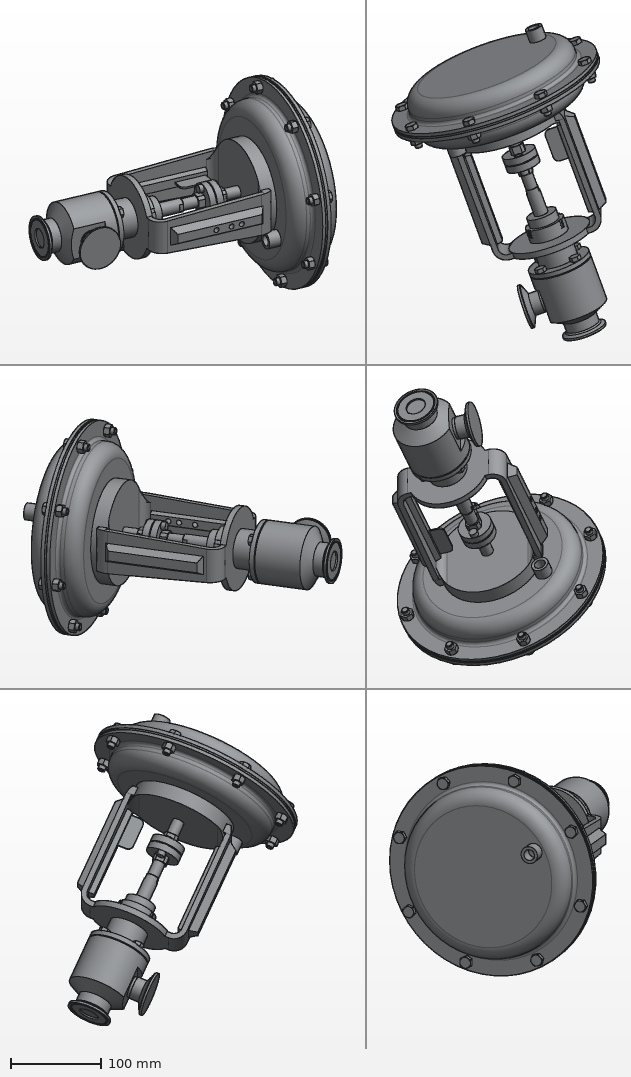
import cadquery as cq
import math


PORT_FLANGE_RADIUS = 25.25
PORT_RIM_BEVEL = 0.6
PORT_FLANGE_THICKNESS = 2.6

LOWER_NECK_RADIUS = 19.3
LOWER_CONE_TOP_RADIUS = 20.9
LOWER_CONE_BOTTOM_Y = 4.7
LOWER_NECK_BOTTOM_Y = 6.5
LOWER_NECK_TOP_Y = 17.8
LOWER_BORE_RADIUS = 11.2
LOWER_BORE_DEPTH = 2.0
GASKET_GROOVE_INNER_RADIUS = 21.2
GASKET_GROOVE_OUTER_RADIUS = 22.6
GASKET_GROOVE_DEPTH = 1.6

HOUSING_RADIUS = 35.7
HOUSING_BOTTOM_Y = 27.2
HOUSING_TOP_Y = 87.2
HOUSING_FLAT_X = 30.3
HOUSING_FLAT_TOP_Y = 66.1
JOINT_GROOVE_Y = 81.2
JOINT_GROOVE_WIDTH = 0.8
JOINT_GROOVE_DEPTH = 1.5

SIDE_PORT_Y = 48.5
SIDE_NECK_RADIUS = 12.9
SIDE_STUB_RADIUS = 12.2
SIDE_STUB_END_X = 33.4
SIDE_NECK_END_X = 44.8
SIDE_FACE_X = 53.4
SIDE_CONE_LENGTH = 5.2

BONNET_RADIUS = 22.5
BONNET_TOP_Y = 134.6
SPANNER_SLOT_ANGLE = 32
SPANNER_SLOT_WIDTH = 4.5
SPANNER_SLOT_DEPTH = 1.5
SPANNER_SLOT_LENGTH = 9.3
GLAND_RADIUS = 17.3
GLAND_TOP_Y = 145.1

STEM_RADIUS = 8.0
STEM_SHOULDER_Y = 177.1
STEM_FLAT_LENGTH = 5.4
STEM_TIP_RADIUS = 6.8

BONNET_BOLT_OFFSET = 20.3
BONNET_BOLT_ACROSS_FLATS = 11.2
BONNET_BOLT_HEAD_HEIGHT = 4.9

CASING_FLANGE_RADIUS = 120.65
CASING_FLANGE_BOTTOM_Y = 292.0
CASING_PLATE_THICKNESS = 4.2
DIAPHRAGM_THICKNESS = 2.2
DIAPHRAGM_RADIUS = 119.8
CASING_FLANGE_TOP_Y = CASING_FLANGE_BOTTOM_Y + 2 * CASING_PLATE_THICKNESS + DIAPHRAGM_THICKNESS
DOME_RADIUS = 98.6
DOME_EDGE_RADIUS = 17.0
DOME_ROOT_RADIUS = 4.0
DOME_BOTTOM_Y = 266.3
DOME_TOP_Y = 327.4

CASING_BOLT_COUNT = 8
CASING_BOLT_CIRCLE_RADIUS = 111.2
CASING_BOLT_START_ANGLE = 15
CASING_BOLT_RADIUS = 4.2
CASING_BOLT_CHAMFER = 0.9
CASING_BOLT_END_Y = 279.6
CASING_HEX_ACROSS_FLATS = 12.7
CASING_HEX_CHAMFER = 1.0
CASING_HEAD_TURN = -15
CASING_NUT_TURN = 15
CASING_HEAD_HEIGHT = 5.3
CASING_NUT_HEIGHT = 7.1

FITTING_CIRCLE_RADIUS = 69.6
FITTING_ANGLE = -30
FITTING_RADIUS = 9.65
FITTING_LENGTH = 14.64
FITTING_BORE_RADIUS = 6.2

BOSS_RADIUS = 59.4
BOSS_BOTTOM_Y = 248.8

YOKE_OUTER_X = 63.4
YOKE_THICKNESS = 6.35
YOKE_INNER_X = YOKE_OUTER_X - YOKE_THICKNESS
YOKE_BOTTOM_Y = 111.6
YOKE_BEND_RADIUS = 15.875
YOKE_FOOT_BEND_Y = 245.0
YOKE_TOP_Y = 259.2
YOKE_INNER_BEND_RADIUS = YOKE_BEND_RADIUS - YOKE_THICKNESS
YOKE_BOTTOM_HALF_WIDTH = 19.3
YOKE_TOP_HALF_WIDTH = 25.4
YOKE_RING_RADIUS = 47.6
YOKE_RING_THICKNESS = 7.1

OUTER_RIB_HEIGHT = 9.6
OUTER_RIB_BASE = (131.3, 247.0, 10.9)
OUTER_RIB_CREST = (135.4, 240.8, 5.8)
INNER_RIB_HEIGHT = 6.4
INNER_RIB_BASE = (129.6, 238.0, 7.4)
INNER_RIB_CREST = (130.7, 236.9, 5.4)
MOUNTING_HOLE_YS = (215.5, 202.8, 183.8)
MOUNTING_HOLE_RADIUS = 3.0

PLATE_LENGTH = 38.7
PLATE_MIDDLE_Y = 215.5
PLATE_END_X = -34.3
PLATE_THICKNESS = 2.0
PLATE_CORNER_RADIUS = 6.35

COUPLING_RADIUS = 19.3
COUPLING_BOTTOM_Y = 203.9
COUPLING_TOP_Y = 221.2
COUPLING_GROOVE_WIDTH = 0.8
COUPLING_GROOVE_DEPTH = 1.5
HUB_WIDTH = 16.0
HUB_CHAMFER = 3.3
HUB_BOTTOM_Y = 195.4
HUB_TOP_Y = 230.5
COUPLING_SCREW_OFFSET = 14.5
COUPLING_SCREW_RADIUS = 4.7
COUPLING_SCREW_HEAD_HEIGHT = 5.4
COUPLING_SCREW_END_HEIGHT = 0.9


def plane_at(y, x=0.0, z=0.0):
    """Workplane across the stem axis, with local axes along X and Z."""
    return cq.Workplane("XZ", origin=(x, y, z))


def cylinder(radius, y_start, y_end, x=0.0, z=0.0):
    return plane_at(y_start, x, z).circle(radius).extrude(y_start - y_end)


def ring(outer_radius, inner_radius, y_start, y_end):
    return plane_at(y_start).circle(outer_radius).circle(inner_radius).extrude(y_start - y_end)


def hexagon(across_flats, y_start, y_end, x, z, turn=0.0):
    corner_diameter = across_flats / math.cos(math.pi / 6)
    prism = plane_at(y_start).polygon(6, corner_diameter).extrude(y_start - y_end)
    return prism.rotate((0, 0, 0), (0, -1, 0), turn).translate((x, 0, z))


def spin_about_y(points):
    return cq.Workplane("XY").polyline(points).close().revolve(360, (0, 0, 0), (0, 1, 0))


def make_lower_port_and_housing():
    body = spin_about_y([
        (0, 0),
        (PORT_FLANGE_RADIUS, 0),
        (PORT_FLANGE_RADIUS, PORT_FLANGE_THICKNESS),
        (LOWER_CONE_TOP_RADIUS, LOWER_CONE_BOTTOM_Y),
        (LOWER_NECK_RADIUS, LOWER_NECK_BOTTOM_Y),
        (LOWER_NECK_RADIUS, LOWER_NECK_TOP_Y),
        (HOUSING_RADIUS, HOUSING_BOTTOM_Y),
        (HOUSING_RADIUS, HOUSING_TOP_Y),
        (0, HOUSING_TOP_Y),
    ])
    joint_groove = ring(
        HOUSING_RADIUS,
        HOUSING_RADIUS - JOINT_GROOVE_DEPTH,
        JOINT_GROOVE_Y - JOINT_GROOVE_WIDTH / 2,
        JOINT_GROOVE_Y + JOINT_GROOVE_WIDTH / 2,
    )
    gasket_groove = ring(GASKET_GROOVE_OUTER_RADIUS, GASKET_GROOVE_INNER_RADIUS, 0, GASKET_GROOVE_DEPTH)
    bore = cylinder(LOWER_BORE_RADIUS, 0, LOWER_BORE_DEPTH)
    flat_height = HOUSING_FLAT_TOP_Y - LOWER_NECK_TOP_Y
    side_flat = cq.Workplane("YZ", origin=(HOUSING_FLAT_X, LOWER_NECK_TOP_Y + flat_height / 2, 0))
    side_flat = side_flat.rect(flat_height, 2 * HOUSING_RADIUS).extrude(HOUSING_RADIUS)
    return body.cut(joint_groove).cut(gasket_groove).cut(bore).cut(side_flat)


def make_side_port():
    rim_x = SIDE_FACE_X - PORT_FLANGE_THICKNESS
    profile = [
        (0, 0),
        (0, SIDE_STUB_RADIUS),
        (SIDE_STUB_END_X, SIDE_STUB_RADIUS),
        (SIDE_STUB_END_X, SIDE_NECK_RADIUS),
        (SIDE_NECK_END_X, SIDE_NECK_RADIUS),
        (SIDE_NECK_END_X + SIDE_CONE_LENGTH, PORT_FLANGE_RADIUS - PORT_RIM_BEVEL),
        (rim_x, PORT_FLANGE_RADIUS),
        (SIDE_FACE_X, PORT_FLANGE_RADIUS),
        (SIDE_FACE_X, 0),
    ]
    port = cq.Workplane("XY").polyline(profile).close().revolve(360, (0, 0, 0), (1, 0, 0))
    return port.translate((0, SIDE_PORT_Y, 0))


def make_bonnet():
    bonnet = cylinder(BONNET_RADIUS, HOUSING_TOP_Y, BONNET_TOP_Y)
    slot = cq.Workplane("XY").box(
        2 * SPANNER_SLOT_DEPTH, 2 * SPANNER_SLOT_LENGTH, SPANNER_SLOT_WIDTH
    ).translate((BONNET_RADIUS, BONNET_TOP_Y, 0))
    for side in (0, 180):
        for turn in (-SPANNER_SLOT_ANGLE, SPANNER_SLOT_ANGLE):
            bonnet = bonnet.cut(slot.rotate((0, 0, 0), (0, 1, 0), side + turn))
    return bonnet.union(cylinder(GLAND_RADIUS, BONNET_TOP_Y, GLAND_TOP_Y))


def make_bonnet_bolts():
    head_top_y = HOUSING_TOP_Y + BONNET_BOLT_HEAD_HEIGHT
    bolts = cq.Workplane("XY")
    for x in (-BONNET_BOLT_OFFSET, BONNET_BOLT_OFFSET):
        for z in (-BONNET_BOLT_OFFSET, BONNET_BOLT_OFFSET):
            bolts = bolts.union(hexagon(BONNET_BOLT_ACROSS_FLATS, HOUSING_TOP_Y, head_top_y, x, z))
    return bolts


def make_stem():
    flats_bottom_y = STEM_SHOULDER_Y - STEM_FLAT_LENGTH
    stem = cylinder(STEM_RADIUS, GLAND_TOP_Y, flats_bottom_y)
    between_flats = plane_at(flats_bottom_y).rect(2 * STEM_TIP_RADIUS, 2 * STEM_RADIUS)
    between_flats = between_flats.extrude(-STEM_FLAT_LENGTH)
    stem = stem.union(cylinder(STEM_RADIUS, flats_bottom_y, STEM_SHOULDER_Y).intersect(between_flats))
    return stem.union(cylinder(STEM_TIP_RADIUS, STEM_SHOULDER_Y, HUB_BOTTOM_Y))


def make_valve():
    valve = make_lower_port_and_housing().union(make_side_port()).union(make_bonnet())
    return valve.union(make_bonnet_bolts()).union(make_stem())


def make_half_dome(flange_y, crown_y):
    """Pressed shell half: a dome with a rounded edge and a rounded root on the flange."""
    toward_crown = math.copysign(1, crown_y - flange_y)
    root_end_y = flange_y + toward_crown * DOME_ROOT_RADIUS
    edge_start_y = crown_y - toward_crown * DOME_EDGE_RADIUS
    flat_radius = DOME_RADIUS - DOME_EDGE_RADIUS
    bulge = math.sqrt(0.5)
    root_mid = (
        DOME_RADIUS + DOME_ROOT_RADIUS * (1 - bulge),
        root_end_y - toward_crown * DOME_ROOT_RADIUS * bulge,
    )
    edge_mid = (
        flat_radius + DOME_EDGE_RADIUS * bulge,
        edge_start_y + toward_crown * DOME_EDGE_RADIUS * bulge,
    )
    return (
        cq.Workplane("XY")
        .moveTo(0, flange_y)
        .lineTo(DOME_RADIUS + DOME_ROOT_RADIUS, flange_y)
        .threePointArc(root_mid, (DOME_RADIUS, root_end_y))
        .lineTo(DOME_RADIUS, edge_start_y)
        .threePointArc(edge_mid, (flat_radius, crown_y))
        .lineTo(0, crown_y)
        .close()
        .revolve(360, (0, 0, 0), (0, 1, 0))
    )


def make_casing():
    diaphragm_bottom_y = CASING_FLANGE_BOTTOM_Y + CASING_PLATE_THICKNESS
    diaphragm_top_y = diaphragm_bottom_y + DIAPHRAGM_THICKNESS
    casing = cylinder(DIAPHRAGM_RADIUS, diaphragm_bottom_y, diaphragm_top_y)
    casing = casing.union(cylinder(CASING_FLANGE_RADIUS, CASING_FLANGE_BOTTOM_Y, diaphragm_bottom_y))
    casing = casing.union(cylinder(CASING_FLANGE_RADIUS, diaphragm_top_y, CASING_FLANGE_TOP_Y))
    casing = casing.union(make_half_dome(CASING_FLANGE_TOP_Y, DOME_TOP_Y))
    return casing.union(make_half_dome(CASING_FLANGE_BOTTOM_Y, DOME_BOTTOM_Y))


def round_hex_corners(hex_prism, y_start, y_end):
    """Bevel the six corners at the upper end of a bolt head or nut that stands on the stem axis."""
    corner_radius = CASING_HEX_ACROSS_FLATS / 2 / math.cos(math.pi / 6)
    envelope = cylinder(corner_radius, y_start, y_end).faces(">Y").chamfer(CASING_HEX_CHAMFER)
    return hex_prism.intersect(envelope)


def make_casing_bolt(angle):
    head_end_y = CASING_FLANGE_TOP_Y + CASING_HEAD_HEIGHT
    nut_end_y = CASING_FLANGE_BOTTOM_Y - CASING_NUT_HEIGHT
    head = hexagon(CASING_HEX_ACROSS_FLATS, CASING_FLANGE_TOP_Y, head_end_y, 0, 0, CASING_HEAD_TURN)
    head = round_hex_corners(head, CASING_FLANGE_TOP_Y, head_end_y)
    nut = hexagon(CASING_HEX_ACROSS_FLATS, nut_end_y, CASING_FLANGE_BOTTOM_Y, 0, 0, CASING_NUT_TURN)
    nut = round_hex_corners(nut, nut_end_y, CASING_FLANGE_BOTTOM_Y)
    shank = cylinder(CASING_BOLT_RADIUS, CASING_BOLT_END_Y, CASING_FLANGE_TOP_Y)
    shank = shank.faces("<Y").chamfer(CASING_BOLT_CHAMFER)
    bolt = head.union(shank).union(nut)
    return bolt.translate((CASING_BOLT_CIRCLE_RADIUS, 0, 0)).rotate((0, 0, 0), (0, -1, 0), angle)


def make_fitting(angle, root_y, end_y):
    """Threaded connection standing on the casing."""
    x = FITTING_CIRCLE_RADIUS * math.cos(math.radians(angle))
    z = FITTING_CIRCLE_RADIUS * math.sin(math.radians(angle))
    tube = cylinder(FITTING_RADIUS, root_y, end_y, x, z)
    return tube.cut(cylinder(FITTING_BORE_RADIUS, root_y, end_y, x, z))


def make_rib(root_x, height, base, crest):
    """Tapered rib on a leg of the right side; a negative height points toward the stem."""
    def outline(x, rib):
        y_low, y_high, half_width = rib
        plane = cq.Workplane("YZ", origin=(x, (y_low + y_high) / 2, 0))
        return plane.rect(y_high - y_low, 2 * half_width).wires().val()

    return cq.Workplane(cq.Solid.makeLoft([outline(root_x, base), outline(root_x + height, crest)], True))


def make_yoke_side():
    """Right half of the yoke: foot bar, bend, tapering leg, foot on the boss and two ribs."""
    bend_centre_x = YOKE_OUTER_X - YOKE_BEND_RADIUS
    bend_centre_y = YOKE_BOTTOM_Y + YOKE_BEND_RADIUS
    strip = (
        cq.Workplane("XY")
        .moveTo(0, YOKE_BOTTOM_Y)
        .lineTo(bend_centre_x, YOKE_BOTTOM_Y)
        .radiusArc((YOKE_OUTER_X, bend_centre_y), -YOKE_BEND_RADIUS)
        .lineTo(YOKE_OUTER_X, YOKE_FOOT_BEND_Y)
        .tangentArcPoint((BOSS_RADIUS, YOKE_TOP_Y), relative=False)
        .lineTo(YOKE_INNER_X - YOKE_THICKNESS, YOKE_TOP_Y)
        .lineTo(YOKE_INNER_X - YOKE_THICKNESS, BOSS_BOTTOM_Y)
        .lineTo(YOKE_INNER_X, BOSS_BOTTOM_Y)
        .lineTo(YOKE_INNER_X, bend_centre_y)
        .radiusArc((bend_centre_x, YOKE_BOTTOM_Y + YOKE_THICKNESS), YOKE_INNER_BEND_RADIUS)
        .lineTo(0, YOKE_BOTTOM_Y + YOKE_THICKNESS)
        .close()
        .extrude(YOKE_TOP_HALF_WIDTH, both=True)
    )
    width_profile = cq.Workplane("YZ").polyline([
        (YOKE_BOTTOM_Y, -YOKE_BOTTOM_HALF_WIDTH),
        (BOSS_BOTTOM_Y, -YOKE_TOP_HALF_WIDTH),
        (YOKE_TOP_Y, -YOKE_TOP_HALF_WIDTH),
        (YOKE_TOP_Y, YOKE_TOP_HALF_WIDTH),
        (BOSS_BOTTOM_Y, YOKE_TOP_HALF_WIDTH),
        (YOKE_BOTTOM_Y, YOKE_BOTTOM_HALF_WIDTH),
    ]).close().extrude(YOKE_OUTER_X)
    foot_fillet = (
        cq.Workplane("XY")
        .moveTo(YOKE_INNER_X - YOKE_INNER_BEND_RADIUS, BOSS_BOTTOM_Y)
        .radiusArc((YOKE_INNER_X, BOSS_BOTTOM_Y - YOKE_INNER_BEND_RADIUS), YOKE_INNER_BEND_RADIUS)
        .lineTo(YOKE_OUTER_X, BOSS_BOTTOM_Y - YOKE_INNER_BEND_RADIUS)
        .lineTo(YOKE_OUTER_X, BOSS_BOTTOM_Y)
        .close()
        .extrude(BOSS_RADIUS, both=True)
        .intersect(cylinder(BOSS_RADIUS, BOSS_BOTTOM_Y - YOKE_INNER_BEND_RADIUS, BOSS_BOTTOM_Y))
    )
    outer_rib = make_rib(YOKE_OUTER_X, OUTER_RIB_HEIGHT, OUTER_RIB_BASE, OUTER_RIB_CREST)
    inner_rib = make_rib(YOKE_INNER_X, -INNER_RIB_HEIGHT, INNER_RIB_BASE, INNER_RIB_CREST)
    return strip.intersect(width_profile).union(foot_fillet).union(outer_rib).union(inner_rib)


def make_yoke():
    right_side = make_yoke_side()
    left_side = right_side.mirror("YZ")
    for y in MOUNTING_HOLE_YS:
        hole = cq.Workplane("YZ", origin=(0, y, 0)).circle(MOUNTING_HOLE_RADIUS)
        right_side = right_side.cut(hole.extrude(YOKE_OUTER_X + OUTER_RIB_HEIGHT))
    yoke_ring = cylinder(YOKE_RING_RADIUS, YOKE_BOTTOM_Y, YOKE_BOTTOM_Y + YOKE_RING_THICKNESS)
    yoke = right_side.union(left_side).union(yoke_ring)
    yoke = yoke.cut(cylinder(BONNET_RADIUS, YOKE_BOTTOM_Y, YOKE_BOTTOM_Y + YOKE_RING_THICKNESS))
    return yoke.union(make_scale_plate())


def make_scale_plate():
    width = PLATE_END_X + YOKE_INNER_X
    plate = cq.Workplane("XY").box(width, PLATE_LENGTH, PLATE_THICKNESS)
    plate = plate.edges("|Z and >X").fillet(PLATE_CORNER_RADIUS)
    return plate.translate((PLATE_END_X - width / 2, PLATE_MIDDLE_Y, 0))


def make_coupling():
    middle_y = (COUPLING_BOTTOM_Y + COUPLING_TOP_Y) / 2
    hub = plane_at(HUB_BOTTOM_Y).rect(HUB_WIDTH, HUB_WIDTH).extrude(HUB_BOTTOM_Y - HUB_TOP_Y)
    hub = hub.edges("|Y").chamfer(HUB_CHAMFER)
    discs = cylinder(COUPLING_RADIUS, COUPLING_BOTTOM_Y, COUPLING_TOP_Y)
    discs = discs.cut(ring(
        COUPLING_RADIUS,
        COUPLING_RADIUS - COUPLING_GROOVE_DEPTH,
        middle_y - COUPLING_GROOVE_WIDTH / 2,
        middle_y + COUPLING_GROOVE_WIDTH / 2,
    ))
    coupling = hub.union(discs)
    for z in (-COUPLING_SCREW_OFFSET, COUPLING_SCREW_OFFSET):
        screw_bottom_y = COUPLING_BOTTOM_Y - COUPLING_SCREW_HEAD_HEIGHT
        screw_top_y = COUPLING_TOP_Y + COUPLING_SCREW_END_HEIGHT
        coupling = coupling.union(cylinder(COUPLING_SCREW_RADIUS, screw_bottom_y, screw_top_y, 0, z))
    return coupling.union(cylinder(STEM_TIP_RADIUS, HUB_TOP_Y, BOSS_BOTTOM_Y))


def make_actuator():
    actuator = make_casing().union(cylinder(BOSS_RADIUS, BOSS_BOTTOM_Y, DOME_BOTTOM_Y))
    actuator = actuator.union(make_fitting(FITTING_ANGLE, DOME_BOTTOM_Y, DOME_BOTTOM_Y - FITTING_LENGTH))
    actuator = actuator.union(make_fitting(FITTING_ANGLE + 180, DOME_TOP_Y, DOME_TOP_Y + FITTING_LENGTH))
    for index in range(CASING_BOLT_COUNT):
        angle = CASING_BOLT_START_ANGLE + index * 360 / CASING_BOLT_COUNT
        actuator = actuator.union(make_casing_bolt(angle))
    return actuator.union(make_yoke()).union(make_coupling())


valve = make_valve()
actuator = make_actuator()

result = cq.Compound.makeCompound([valve.val(), actuator.val()])